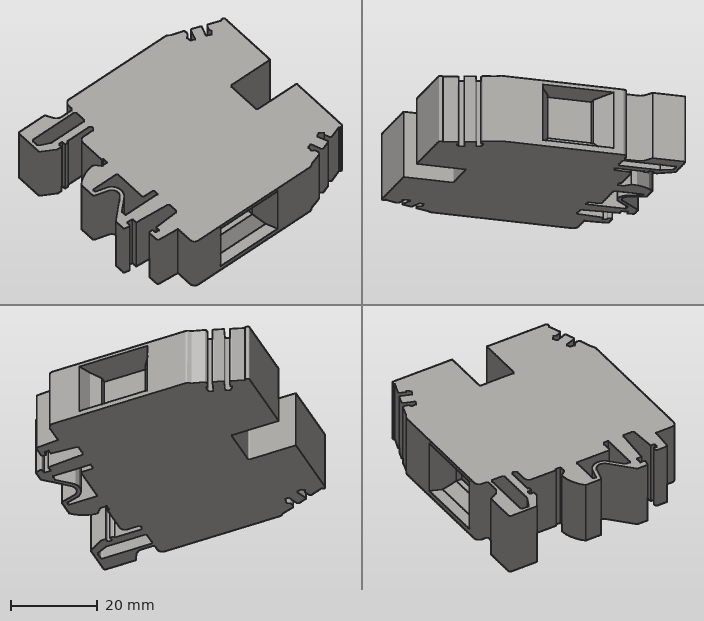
import cadquery as cq
import math


LENGTH = 51.5
HEIGHT = 58.5
THICKNESS = 16.0

BODY_BOTTOM = 9.5
BODY_CORNER_RADIUS = 1.35
SHOULDER_HEIGHT = 44.9
SLOT_WIDTH = 9.4
SLOT_FLOOR = 46.45
SLOT_CORNER_RADIUS = 0.35

TAB_ROOT = 14.1
TAB_NECK_LEFT = 2.85
TAB_NECK_RADIUS = 2.0
TAB_SHOULDER = 8.1
TAB_SHOULDER_ANGLE = 29.0
TAB_RIGHT = 9.7
TAB_LIP_WIDTH = 0.4
TAB_BOTTOM_WIDTH = 7.5
TAB_FLARE_TOP = 3.75
TAB_GROOVE_DEPTH = 1.05
TAB_GROOVE_BOTTOM = 4.9
TAB_GROOVE_TOP = 5.95
TAB_LIP_TOP = 7.0
TAB_GAP_WIDTH = 1.35
TAB_GAP_RADIUS = 0.6
TAB_WINDOW_LEFT = 3.8
TAB_WINDOW_RIGHT = 7.25
TAB_WINDOW_BOTTOM = 1.0
TAB_WINDOW_FLARE_TOP = 3.85
TAB_WINDOW_FLARE_WIDTH = 1.35

NOSE_LEFT = 18.65
NOSE_BOTTOM = 1.0
NOSE_BOTTOM_LEFT = 21.35
NOSE_FLANK_TOP = 6.3
NOSE_SHOULDER = 7.0
NOSE_FLANK_BULGE = (19.55, 3.45)
RAIL_GROOVE_RIGHT = 20.05
RAIL_GROOVE_BOTTOM = 8.3
RAIL_GROOVE_TOP = 9.9
ARCH_CENTER = (28.5, 4.15)
ARCH_INNER_RADIUS = 1.9
SPRING_THICKNESS = 1.0
ARCH_LEFT_ANGLE = 74.6
ARCH_RIGHT_ANGLE = 47.6
ARCH_WINDOW_LEFT = 24.15
ARCH_WINDOW_RIGHT = 34.8
ARCH_WINDOW_LEFT_BOTTOM = 2.15
ARCH_WINDOW_RIGHT_BOTTOM = 3.0
ARCH_RECESS_LEFT = 33.35
RECESS_TOP = 12.7

LATCH_BOTTOM_RIGHT = 37.7
LATCH_TIP = (38.0, 1.65)
LATCH_GROOVE_LEFT = 36.75
LATCH_GROOVE_BOTTOM = 1.8
LATCH_GROOVE_TOP = 3.4
LATCH_LEG_BOTTOM_RIGHT = 38.1
LATCH_LEG_TOP_RIGHT = 38.8

HOOK_BOTTOM = 3.7
HOOK_LEFT = 42.2
HOOK_TOP_LEFT = 41.7
HOOK_GROOVE_RIGHT = 43.25
HOOK_GROOVE_BOTTOM = 4.85
HOOK_GROOVE_TOP = 5.95
HOOK_BOTTOM_RIGHT = 45.4
HOOK_TOP_RIGHT = 45.8

TOP_BEAD_X = 4.55
TOP_BEAD_BOTTOM = 57.7
TOP_BEAD_STEP = 0.25
UPPER_NOTCH_CHIN = (3.55, 54.1)
UPPER_NOTCH_NECK = (5.25, 53.45)
UPPER_NOTCH_POCKET = [(5.75, 53.9), (6.55, 52.95), (6.0, 51.85)]
TOOTH_TOP = (3.1, 52.95)
TOOTH_BOTTOM = (2.15, 50.3)
LOWER_NOTCH_POCKET = [(5.2, 49.25), (4.8, 48.2), (3.5, 48.1)]
LOWER_NOTCH_LIP = [(3.15, 48.8), (2.35, 49.1)]
SLOPE_TOP = (1.6, 48.9)
SLOPE_BOTTOM = (0.6, 45.8)

FUNNEL_MOUTH_Y = (17.55, 34.85)
FUNNEL_THROAT_Y = (18.85, 33.7)
FUNNEL_WELL_Y = (20.7, 31.8)
FUNNEL_MOUTH_Z = (1.4, 15.05)
FUNNEL_WELL_Z = (4.05, 14.6)
FUNNEL_THROAT_DEPTH = 2.9
FUNNEL_WELL_START = 5.45
FUNNEL_DEPTH = 6.9

SMALL_RADIUS = 0.25
EDGE_RADIUS = 0.45


def rounded_outline(corners):
    """Closed wire through (x, y, radius) corners; a zero radius leaves a corner sharp.

    A corner given as (x, y, "via") is a point on an arc joining its two neighbours.
    """
    count = len(corners)
    entries = []
    for i, (x, y, radius) in enumerate(corners):
        corner = cq.Vector(x, y)
        if radius == "via":
            entries.append((None, corner, None))
            continue
        if radius == 0:
            entries.append((corner, None, corner))
            continue
        before = (cq.Vector(*corners[i - 1][:2]) - corner).normalized()
        after = (cq.Vector(*corners[(i + 1) % count][:2]) - corner).normalized()
        half_angle = before.getAngle(after) / 2
        setback = radius / math.tan(half_angle)
        to_middle = radius / math.sin(half_angle) - radius
        middle = corner + (before + after).normalized() * to_middle
        entries.append((corner + before * setback, middle, corner + after * setback))

    path = cq.Workplane("XY").moveTo(*entries[0][2].toTuple()[:2])
    pending = None
    for start, middle, end in entries[1:] + entries[:1]:
        if start is None:
            pending = middle
            continue
        if pending is not None:
            path = path.threePointArc(pending.toTuple()[:2], start.toTuple()[:2])
            pending = None
        else:
            path = path.lineTo(*start.toTuple()[:2])
        if middle is not None:
            path = path.threePointArc(middle.toTuple()[:2], end.toTuple()[:2])
    return path.close()


def prism(corners):
    return rounded_outline(corners).extrude(THICKNESS)


def arch_corners(radius, left_bottom, right_bottom):
    """Start, rounded crest and end of an arch whose straight legs are tangent to its arc."""
    center_x, center_y = ARCH_CENTER
    left = math.radians(ARCH_LEFT_ANGLE)
    right = math.radians(ARCH_RIGHT_ANGLE)
    reach = radius / math.cos((left + right) / 2)
    lean = (left - right) / 2
    crest_x = center_x - reach * math.sin(lean)
    crest_y = center_y + reach * math.cos(lean)
    start_x = crest_x - (crest_y - left_bottom) / math.tan(left)
    end_x = crest_x + (crest_y - right_bottom) / math.tan(right)
    return (start_x, left_bottom), (crest_x, crest_y, radius), (end_x, right_bottom)


def left_foot():
    shoulder_rise = TAB_NECK_LEFT * math.tan(math.radians(TAB_SHOULDER_ANGLE))
    neck_right = TAB_RIGHT - TAB_LIP_WIDTH
    groove_left = TAB_RIGHT - TAB_GROOVE_DEPTH
    gap_right = neck_right + TAB_GAP_WIDTH
    return [
        (0, TAB_ROOT, BODY_CORNER_RADIUS),
        (TAB_NECK_LEFT, TAB_ROOT, EDGE_RADIUS),
        (TAB_NECK_LEFT, TAB_SHOULDER + shoulder_rise, TAB_NECK_RADIUS),
        (0, TAB_SHOULDER, 0),
        (0, 0, EDGE_RADIUS),
        (TAB_BOTTOM_WIDTH, 0, EDGE_RADIUS),
        (TAB_RIGHT, TAB_FLARE_TOP, SMALL_RADIUS),
        (TAB_RIGHT, TAB_GROOVE_BOTTOM, 0),
        (groove_left, TAB_GROOVE_BOTTOM, SMALL_RADIUS),
        (groove_left, TAB_GROOVE_TOP, 0),
        (TAB_RIGHT, TAB_GROOVE_TOP, 0),
        (TAB_RIGHT, TAB_LIP_TOP, SMALL_RADIUS),
        (neck_right, TAB_LIP_TOP, 0),
        (neck_right, TAB_ROOT, TAB_GAP_RADIUS),
        (gap_right, TAB_ROOT, TAB_GAP_RADIUS),
        (gap_right, BODY_BOTTOM, BODY_CORNER_RADIUS),
    ]


def middle_foot():
    spring_start, spring_crest, spring_end = arch_corners(ARCH_INNER_RADIUS, NOSE_BOTTOM, 0)
    return [
        (NOSE_LEFT, BODY_BOTTOM, 0),
        (NOSE_LEFT, RAIL_GROOVE_TOP, 0),
        (RAIL_GROOVE_RIGHT, RAIL_GROOVE_TOP, 0),
        (RAIL_GROOVE_RIGHT, RAIL_GROOVE_BOTTOM, SMALL_RADIUS),
        (NOSE_LEFT, NOSE_SHOULDER, 0),
        (NOSE_LEFT, NOSE_FLANK_TOP, 0),
        (*NOSE_FLANK_BULGE, "via"),
        (NOSE_BOTTOM_LEFT, NOSE_BOTTOM, 0),
        (*spring_start, EDGE_RADIUS),
        spring_crest,
        (*spring_end, SMALL_RADIUS),
        (LATCH_BOTTOM_RIGHT, 0, SMALL_RADIUS),
        (*LATCH_TIP, SMALL_RADIUS),
        (LATCH_GROOVE_LEFT, LATCH_GROOVE_BOTTOM, 0),
        (LATCH_GROOVE_LEFT, LATCH_GROOVE_TOP, 0),
        (LATCH_LEG_BOTTOM_RIGHT, LATCH_GROOVE_TOP, 0),
    ]


def right_hook():
    return [
        (LATCH_LEG_TOP_RIGHT, RECESS_TOP, EDGE_RADIUS),
        (HOOK_TOP_LEFT, RECESS_TOP, EDGE_RADIUS),
        (HOOK_LEFT, HOOK_GROOVE_TOP, 0),
        (HOOK_GROOVE_RIGHT, HOOK_GROOVE_TOP, 0),
        (HOOK_GROOVE_RIGHT, HOOK_GROOVE_BOTTOM, SMALL_RADIUS),
        (HOOK_LEFT, HOOK_GROOVE_BOTTOM, SMALL_RADIUS),
        (HOOK_LEFT, HOOK_BOTTOM, EDGE_RADIUS),
        (HOOK_BOTTOM_RIGHT, HOOK_BOTTOM, EDGE_RADIUS),
        (HOOK_TOP_RIGHT, BODY_BOTTOM, 0),
        (LENGTH, BODY_BOTTOM, BODY_CORNER_RADIUS),
    ]


def left_shoulder():
    """Sloping upper-left corner with two marker notches, from the top down."""
    top_bead = [
        (TOP_BEAD_X, HEIGHT, EDGE_RADIUS),
        (TOP_BEAD_X, TOP_BEAD_BOTTOM, 0),
        (TOP_BEAD_X + TOP_BEAD_STEP, TOP_BEAD_BOTTOM - TOP_BEAD_STEP, 0),
    ]
    upper_notch = [
        (*UPPER_NOTCH_CHIN, EDGE_RADIUS),
        (*UPPER_NOTCH_NECK, SMALL_RADIUS),
        *[(x, y, SMALL_RADIUS) for x, y in UPPER_NOTCH_POCKET],
    ]
    tooth = [
        (*TOOTH_TOP, SMALL_RADIUS),
        (*TOOTH_BOTTOM, EDGE_RADIUS),
    ]
    lower_notch = [
        *[(x, y, SMALL_RADIUS) for x, y in LOWER_NOTCH_POCKET],
        *[(x, y, EDGE_RADIUS) for x, y in LOWER_NOTCH_LIP],
    ]
    slope_end = [
        (*SLOPE_TOP, SMALL_RADIUS),
        (*SLOPE_BOTTOM, 0),
        (0, SHOULDER_HEIGHT, BODY_CORNER_RADIUS),
    ]
    return top_bead + upper_notch + tooth + lower_notch + slope_end


def right_shoulder():
    """Mirror image of the left shoulder, from the bottom up."""
    return [(LENGTH - x, y, radius) for x, y, radius in reversed(left_shoulder())]


def top_slot():
    left = (LENGTH - SLOT_WIDTH) / 2
    right = left + SLOT_WIDTH
    return [
        (right, HEIGHT, 0),
        (right, SLOT_FLOOR, SLOT_CORNER_RADIUS),
        (left, SLOT_FLOOR, SLOT_CORNER_RADIUS),
        (left, HEIGHT, 0),
    ]


def tab_window():
    return [
        (TAB_WINDOW_LEFT, TAB_ROOT, EDGE_RADIUS),
        (TAB_WINDOW_LEFT, TAB_WINDOW_BOTTOM, EDGE_RADIUS),
        (TAB_WINDOW_RIGHT - TAB_WINDOW_FLARE_WIDTH, TAB_WINDOW_BOTTOM, EDGE_RADIUS),
        (TAB_WINDOW_RIGHT, TAB_WINDOW_FLARE_TOP, 0),
        (TAB_WINDOW_RIGHT, TAB_ROOT, EDGE_RADIUS),
    ]


def arch_window():
    spring_start, spring_crest, spring_end = arch_corners(
        ARCH_INNER_RADIUS + SPRING_THICKNESS, ARCH_WINDOW_LEFT_BOTTOM, ARCH_WINDOW_RIGHT_BOTTOM
    )
    return [
        (ARCH_WINDOW_LEFT, BODY_BOTTOM, SMALL_RADIUS),
        (ARCH_WINDOW_LEFT, ARCH_WINDOW_LEFT_BOTTOM, SMALL_RADIUS),
        (*spring_start, SMALL_RADIUS),
        spring_crest,
        (*spring_end, SMALL_RADIUS),
        (ARCH_WINDOW_RIGHT, ARCH_WINDOW_RIGHT_BOTTOM, 0),
        (ARCH_WINDOW_RIGHT, RECESS_TOP, 0),
        (ARCH_RECESS_LEFT, RECESS_TOP, EDGE_RADIUS),
        (ARCH_RECESS_LEFT, BODY_BOTTOM, EDGE_RADIUS),
    ]


def section(depth, y_range, z_range):
    """Rectangle parallel to the side wall, at a depth in from that wall."""
    y_low, y_high = y_range
    z_low, z_high = z_range
    corners = [(y_low, z_low), (y_high, z_low), (y_high, z_high), (y_low, z_high)]
    return cq.Workplane("YZ", origin=(depth, 0, 0)).polyline(corners).close()


def taper(start, end):
    """Solid between two parallel rectangular sections."""
    return cq.Workplane(cq.Solid.makeLoft([start.wire().val(), end.wire().val()], True))


def wire_funnel():
    mouth = section(0, FUNNEL_MOUTH_Y, FUNNEL_MOUTH_Z)
    throat = section(FUNNEL_THROAT_DEPTH, FUNNEL_THROAT_Y, FUNNEL_MOUTH_Z)
    well = section(FUNNEL_WELL_START, FUNNEL_WELL_Y, FUNNEL_WELL_Z)
    straight_well = well.extrude(FUNNEL_DEPTH - FUNNEL_WELL_START)
    return taper(mouth, throat).union(taper(throat, well)).union(straight_well)


profile = left_foot() + middle_foot() + right_hook() + right_shoulder() + top_slot() + left_shoulder()
housing = prism(profile).cut(prism(tab_window())).cut(prism(arch_window()))

left_funnel = wire_funnel()
right_funnel = left_funnel.mirror("YZ", (LENGTH / 2, 0, 0))

result = housing.cut(left_funnel).cut(right_funnel)